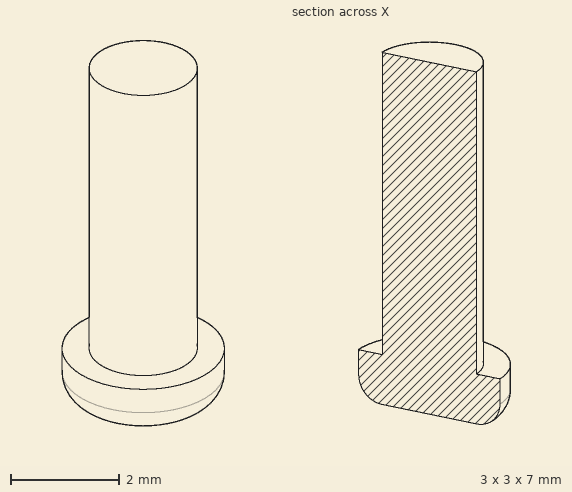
import cadquery as cq

shank_diameter = 2.0
shank_length = 6.0
head_diameter = 3.0
head_height = 1.0
head_edge_radius = 0.5


def make_head():
    """Round head standing on Z = 0, with its bottom edge rounded."""
    head = cq.Workplane("XY").circle(head_diameter / 2).extrude(head_height)
    return head.faces("<Z").edges().fillet(head_edge_radius)


def make_shank():
    """Plain cylindrical shank rising from the top of the head."""
    return (
        cq.Workplane("XY")
        .workplane(offset=head_height)
        .circle(shank_diameter / 2)
        .extrude(shank_length)
    )


result = make_head().union(make_shank())